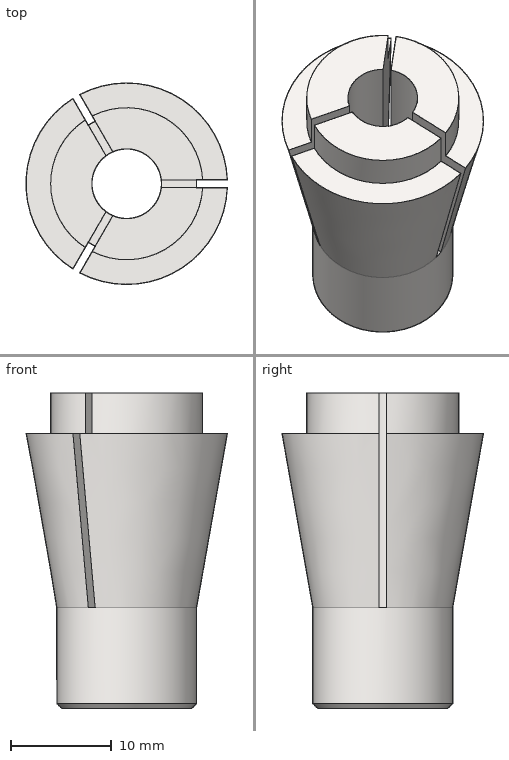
import cadquery as cq

total_height = 31.3
shank_height = 10.02
collar_height = 4.0
cone_top = total_height - collar_height

shank_diameter = 13.9
cone_diameter = 20.0
collar_diameter = 15.1
bore_diameter = 6.9

bottom_chamfer = 0.5
slot_width = 0.78
slot_count = 3


def make_body():
    """Revolved shank, flaring cone and top collar."""
    shank_radius = shank_diameter / 2
    profile = (
        cq.Workplane("XZ")
        .lineTo(shank_radius - bottom_chamfer, 0)
        .lineTo(shank_radius, bottom_chamfer)
        .lineTo(shank_radius, shank_height)
        .lineTo(cone_diameter / 2, cone_top)
        .lineTo(collar_diameter / 2, cone_top)
        .lineTo(collar_diameter / 2, total_height)
        .lineTo(0, total_height)
        .close()
    )
    return profile.revolve(360, (0, 0, 0), (0, 1, 0))


def make_slot(angle):
    """Radial saw cut from the axis outward, with its floor at the top of the shank."""
    cut = cq.Workplane("XY").box(
        cone_diameter, slot_width, total_height - shank_height, centered=(False, True, False)
    )
    return cut.translate((0, 0, shank_height)).rotate((0, 0, 0), (0, 0, 1), angle)


result = make_body()

result = result.cut(cq.Workplane("XY").circle(bore_diameter / 2).extrude(total_height))

for index in range(slot_count):
    result = result.cut(make_slot(index * 360 / slot_count))